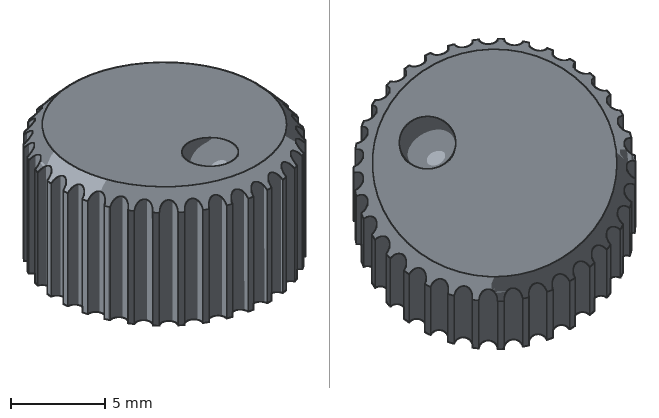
import cadquery as cq

knob_diameter = 15.0
knob_height = 8.0
top_chamfer = 1.0

flute_count = 35
flute_radius = 0.5
first_flute_angle = -90.0

dimple_offset = 3.75
dimple_diameter = 3.0


def make_body():
    body = cq.Workplane("XY").circle(knob_diameter / 2).extrude(knob_height)
    return body.faces(">Z").chamfer(top_chamfer)


def make_flutes():
    """Full-height round cutters centred on the rim."""
    return (
        cq.Workplane("XY")
        .polarArray(knob_diameter / 2, first_flute_angle, 360, flute_count)
        .circle(flute_radius)
        .extrude(knob_height)
    )


def make_dimple():
    """Ball centred on the top face, leaving a hemispherical hollow."""
    ball = cq.Workplane("XY").sphere(dimple_diameter / 2)
    return ball.translate((dimple_offset, 0, knob_height))


result = make_body().cut(make_flutes()).cut(make_dimple())